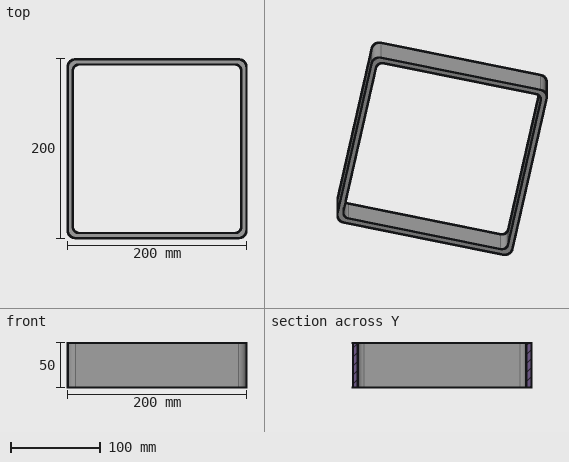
import cadquery as cq

side = 200.0
height = 50.0
wall = 6.0
outer_radius = 9.0
inner_radius = 7.0


def rounded_block(width, corner_radius):
    """Square block, centred on the origin, with rounded vertical edges."""
    return cq.Workplane("XY").box(width, width, height).edges("|Z").fillet(corner_radius)


opening = rounded_block(side - 2 * wall, inner_radius)
result = rounded_block(side, outer_radius).cut(opening)